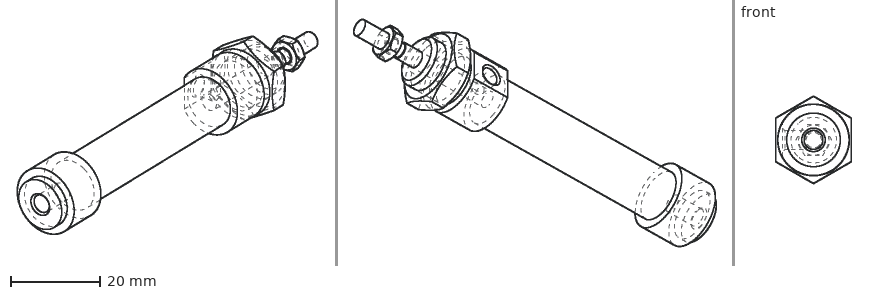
import cadquery as cq
import math


overall_length = 101.0
rear_boss_length = 2.0
cover_length = 10.0
front_cover_start = 63.0
mount_neck_end = 84.0
mount_nut_start = 75.0
mount_nut_thickness = 5.5
rod_groove_start = 89.0
rod_nut_start = 91.2
rod_nut_thickness = 2.7

barrel_diameter = 12.0
cover_diameter = 16.0
mount_neck_chamfer = 0.9
port_flat_offset = 7.0

port_diameter = 4.2
port_mouth_diameter = 5.3
rear_port_depth = 8.0
drill_point_angle = 118.0
side_port_offset = 4.8
side_port_floor = 1.7

rod_diameter = 4.0
rod_groove_diameter = 3.4

mount_nut_flats = 17.0
mount_nut_face_diameter = 16.1
rod_nut_flats = 7.0
rod_nut_face_diameter = 6.8
nut_chamfer_angle = 30.0


def disc(diameter, y_start, y_end):
    """Round bar on the Y axis between two stations."""
    return (
        cq.Workplane("XZ", origin=(0, y_start, 0))
        .circle(diameter / 2)
        .extrude(y_start - y_end)
    )


def make_rear_port():
    """Drilled hole with a chamfered mouth and a conical bottom."""
    radius = port_diameter / 2
    mouth_radius = port_mouth_diameter / 2
    point_length = radius / math.tan(math.radians(drill_point_angle / 2))
    return (
        cq.Workplane("XY")
        .polyline([
            (0, 0),
            (mouth_radius, 0),
            (radius, mouth_radius - radius),
            (radius, rear_port_depth),
            (0, rear_port_depth + point_length),
        ])
        .close()
        .revolve(360, (0, 0, 0), (0, 1, 0))
    )


def make_side_port():
    """Flat-bottomed hole with a chamfered mouth, drilled in from the port flat."""
    radius = port_diameter / 2
    mouth_radius = port_mouth_diameter / 2
    port_y = front_cover_start + side_port_offset
    return (
        cq.Workplane("XY")
        .polyline([
            (-port_flat_offset, port_y),
            (-port_flat_offset, port_y + mouth_radius),
            (-port_flat_offset + mouth_radius - radius, port_y + radius),
            (-side_port_floor, port_y + radius),
            (-side_port_floor, port_y),
        ])
        .close()
        .revolve(360, (0, port_y, 0), (1, port_y, 0))
    )


def make_front_cover():
    """Round cover with one flat on the -X side."""
    cover_end = front_cover_start + cover_length
    beyond_flat = (
        cq.Workplane("XY", origin=(-port_flat_offset, front_cover_start, 0))
        .box(cover_diameter, cover_length, cover_diameter, centered=(False, False, True))
        .translate((-cover_diameter, 0, 0))
    )
    return disc(cover_diameter, front_cover_start, cover_end).cut(beyond_flat)


def make_barrel():
    core = disc(barrel_diameter, 0, mount_neck_end).faces(">Y").chamfer(mount_neck_chamfer)
    rear_cover = disc(cover_diameter, rear_boss_length, rear_boss_length + cover_length)
    rod_bore = disc(rod_diameter, front_cover_start, mount_neck_end)
    return (
        core.union(rear_cover)
        .union(make_front_cover())
        .cut(make_rear_port())
        .cut(make_side_port())
        .cut(rod_bore)
    )


def make_rod():
    """Rod from the rear of the front cover to the tip, with a groove behind the rod nut."""
    rear_length = disc(rod_diameter, front_cover_start, rod_groove_start)
    groove = disc(rod_groove_diameter, rod_groove_start, rod_nut_start)
    front_length = disc(rod_diameter, rod_nut_start, overall_length)
    return rear_length.union(groove).union(front_length)


def make_nut(flats, face_diameter, thickness, bore_diameter, y_start, corner_angle):
    """Hexagon nut with both faces chamfered; corner_angle turns the first corner away from +X."""
    corner_radius = flats / math.sqrt(3)
    face_radius = face_diameter / 2
    chamfer_drop = (corner_radius - face_radius) * math.tan(math.radians(nut_chamfer_angle))
    y_end = y_start + thickness
    hexagon = (
        cq.Workplane("XZ", origin=(0, y_start, 0))
        .polygon(6, 2 * corner_radius)
        .extrude(-thickness)
        .rotate((0, 0, 0), (0, 1, 0), corner_angle)
    )
    chamfer_envelope = (
        cq.Workplane("XY")
        .polyline([
            (0, y_start),
            (face_radius, y_start),
            (corner_radius, y_start + chamfer_drop),
            (corner_radius, y_end - chamfer_drop),
            (face_radius, y_end),
            (0, y_end),
        ])
        .close()
        .revolve(360, (0, 0, 0), (0, 1, 0))
    )
    return hexagon.intersect(chamfer_envelope).cut(disc(bore_diameter, y_start, y_end))


barrel = make_barrel()
rod = make_rod()
mount_nut = make_nut(
    mount_nut_flats, mount_nut_face_diameter, mount_nut_thickness, barrel_diameter, mount_nut_start, 90
)
rod_nut = make_nut(
    rod_nut_flats, rod_nut_face_diameter, rod_nut_thickness, rod_diameter, rod_nut_start, 0
)

result = cq.Compound.makeCompound([barrel.val(), rod.val(), mount_nut.val(), rod_nut.val()])